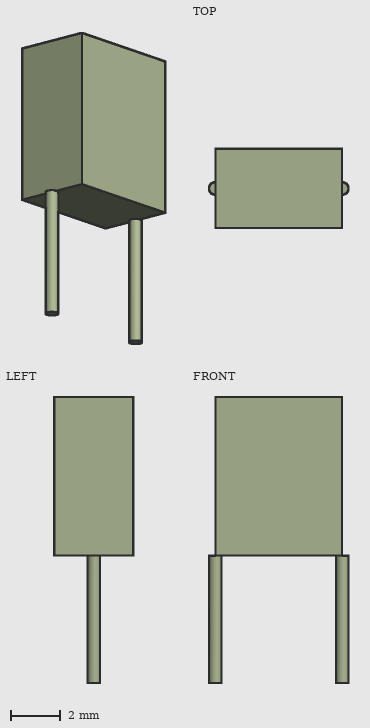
import cadquery as cq

body_length = 5.08
body_width = 3.18
body_height = 6.35

lead_diameter = 0.51
lead_length = 5.10
lead_pitch = body_length


def make_body():
    """Plain block standing on the plane Z = 0."""
    return cq.Workplane("XY").box(
        body_length, body_width, body_height, centered=(True, True, False)
    )


def make_lead(side):
    """Straight round lead below the body, on the given side of X (-1 or +1)."""
    lead_x = side * lead_pitch / 2
    return (
        cq.Workplane("XY")
        .center(lead_x, 0)
        .circle(lead_diameter / 2)
        .extrude(-lead_length)
    )


body = make_body()
leads = [make_lead(side) for side in (-1, 1)]

result = cq.Compound.makeCompound([body.val(), *[lead.val() for lead in leads]])